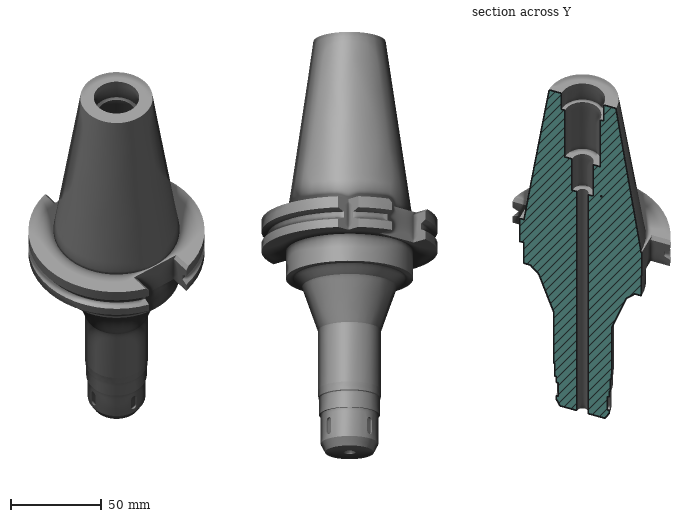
import cadquery as cq


total_height = 236.8
taper_length = 101.8
collar_height = 1.5
flange_thickness = 17.8
shoulder_height = 15.6
steep_cone_height = 5.0
slim_cone_height = 25.0
shank_bottom = 30.8
shank_tip_top = 35.7
shank_tip_bevel = 0.5
sleeve_bottom = 21.3
nose_chamfer_height = 4.7

gauge_z = total_height - taper_length
flange_top = gauge_z - collar_height
flange_bottom = flange_top - flange_thickness
shoulder_bottom = flange_bottom - shoulder_height
steep_cone_bottom = shoulder_bottom - steep_cone_height
shank_top = steep_cone_bottom - slim_cone_height

gauge_radius = 69.8 / 2
taper_ratio = 7 / 24
taper_top_radius = gauge_radius - taper_length * taper_ratio / 2
flange_radius = 97.5 / 2
shoulder_radius = 70.5 / 2
steep_cone_radius = 62.5 / 2
slim_cone_radius = steep_cone_radius - steep_cone_height
shank_radius = 35.0 / 2
shank_tip_radius = 34.5 / 2
sleeve_radius = 33.6 / 2
nose_radius = 32.0 / 2
nose_face_radius = 27.0 / 2

groove_top = flange_top - 6.5
groove_width = 6.6
groove_depth = 3.3
groove_flank = 1.7

slot_half_width = 25.8 / 2
slot_floor_left = 37.6
slot_floor_right = 35.5
slot_chamfer = 2.0
notch_corner = 30.3

bore_steps = [(12.5, 12.0), (10.5, 47.4), (6.2, 71.0), (3.3, total_height)]

nose_slot_count = 4
nose_slot_width = 3.5
nose_slot_length = 9.7
nose_slot_middle = 12.0
nose_slot_depth = 1.2


def turned_body():
    outline = [
        (0, 0),
        (nose_face_radius, 0),
        (nose_radius, nose_chamfer_height),
        (nose_radius, sleeve_bottom),
        (sleeve_radius, sleeve_bottom),
        (sleeve_radius, shank_bottom),
        (shank_tip_radius, shank_bottom + shank_tip_bevel),
        (shank_radius, shank_tip_top),
        (shank_radius, shank_top),
        (slim_cone_radius, steep_cone_bottom),
        (steep_cone_radius, shoulder_bottom),
        (shoulder_radius, shoulder_bottom),
        (shoulder_radius, flange_bottom),
        (flange_radius, flange_bottom),
        (flange_radius, groove_top - groove_width),
        (flange_radius - groove_depth, groove_top - groove_width + groove_flank),
        (flange_radius - groove_depth, groove_top - groove_flank),
        (flange_radius, groove_top),
        (flange_radius, flange_top),
        (gauge_radius, flange_top),
        (gauge_radius, gauge_z),
        (taper_top_radius, total_height),
        (0, total_height),
    ]
    return cq.Workplane("XZ").polyline(outline).close().revolve(360, (0, 0, 0), (0, 1, 0))


def driving_slot(side, floor):
    """Slot through the flange on the +X (side 1) or -X (side -1) side, with chamfered top edges."""
    wide = slot_half_width + slot_chamfer
    chamfer_bottom = flange_top - slot_chamfer
    section = [
        (-slot_half_width, flange_bottom),
        (slot_half_width, flange_bottom),
        (slot_half_width, chamfer_bottom),
        (wide, flange_top),
        (-wide, flange_top),
        (-slot_half_width, chamfer_bottom),
    ]
    slot = cq.Workplane("YZ").polyline(section).close().extrude(side * flange_radius)
    core = cq.Workplane("XY").box(2 * floor, 2 * flange_radius, total_height, centered=(True, True, False))
    return slot.cut(core)


def orientation_notch():
    return (
        cq.Workplane("XY", origin=(-notch_corner, notch_corner, flange_bottom))
        .rect(-flange_radius, flange_radius, centered=False)
        .extrude(flange_thickness)
    )


def nose_slot(angle):
    return (
        cq.Workplane("YZ", origin=(nose_radius - nose_slot_depth, 0, nose_slot_middle))
        .slot2D(nose_slot_length, nose_slot_width, 90)
        .extrude(2 * nose_slot_depth)
        .rotate((0, 0, 0), (0, 0, 1), angle)
    )


result = turned_body()
result = result.cut(driving_slot(-1, slot_floor_left))
result = result.cut(driving_slot(1, slot_floor_right))
result = result.cut(orientation_notch())

for radius, depth in bore_steps:
    bore = cq.Workplane("XY", origin=(0, 0, total_height)).circle(radius).extrude(-depth)
    result = result.cut(bore)

for index in range(nose_slot_count):
    result = result.cut(nose_slot(index * 360 / nose_slot_count))